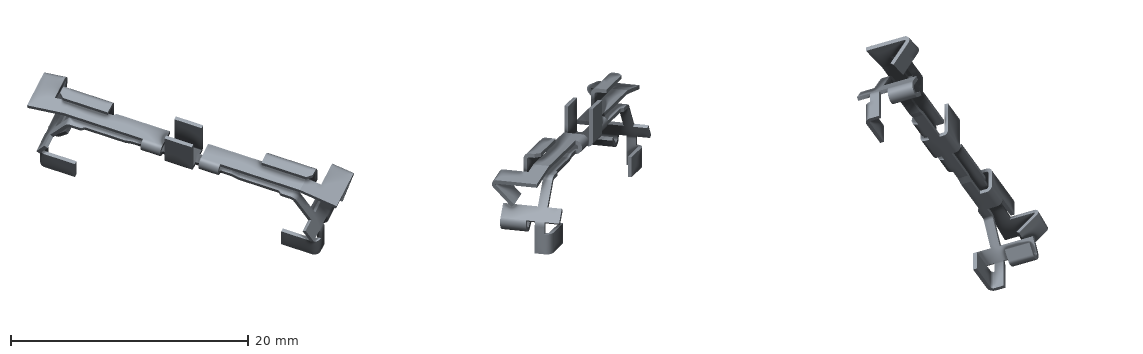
import cadquery as cq
import math

THICKNESS = 0.35
HALF_LENGTH = 14.1
HEIGHT = 9.35

TIGHT_BEND = 0.42
RAIL_BEND = 0.54
FOOT_BEND = 0.6
LEG_BEND = 0.7
HOOK_BEND = 0.73

UPPER_TOP = 7.2
UPPER_FRONT = -0.2
UPPER_BACK = 1.4
RELIEF_BACK = 1.18
RELIEF_START = 6.63
RELIEF_END = 6.8
UPPER_INNER_END = 1.75
SLOPE_START = 10.77
END_SLOPE = 10.0
END_PLATE_WIDTH = 2.0
FLAP_BACK = 3.8
FLAP_ANGLE = 48.0
FLAP_DEPTH = 2.4

FOLD_OUTER_END = 3.52
FOLD_BEND = 0.6
LOWER_BACK = 0.73
MIDDLE_TOP = UPPER_TOP - 2 * FOLD_BEND + THICKNESS
STEP_START = 4.5
STEP_END = 5.15
STEP_DROP = 0.17
LOWER_TOP = MIDDLE_TOP - STEP_DROP

TAB_HALF_LENGTH = 1.25
TAB_FRONT = -1.02
TAB_BACK = 1.52

RAIL_INNER_END = 7.0
RAIL_BASE_END = 9.1
RAIL_OUTER_END = 11.5
RAIL_BACK = 1.83
RAIL_TOP = 8.38
RAIL_OVERHANG_BOTTOM = 6.51
LIP_FRONT = 0.42
LIP_CHAMFER = 0.42

LEG_WIDTH = 0.85
LEG_TAPER = 0.28
LEG_BEND_START = 9.98
LEG_SLOPE = 56.0
LEG_SLOPE_LENGTH = 3.7
CROSSBAR_HEIGHT = 1.33
CROSSBAR_FRONT = -1.7
CROSSBAR_BACK = 3.5
HOOK_FRONT = 1.2
HOOK_FLAT = 0.05
HOOK_RISE_ANGLE = 45.0
HOOK_RISE = 1.05
FOOT_HEIGHT = 1.78
FOOT_INNER_END = 9.4


def direction(angle):
    return cq.Vector(math.cos(math.radians(angle)), math.sin(math.radians(angle)))


def bent_sheet(workplane, start, heading, steps, width):
    """Sheet whose outer face starts at `start` and runs along `heading` (degrees).

    Each step is a straight length, or a (turn angle, outer radius) bend to the left.
    The sheet lies to the left of the outer face.
    """
    outer = cq.Vector(*start)
    outline = workplane.moveTo(outer.x, outer.y)
    inner_steps = []
    for step in steps:
        left = direction(heading + 90)
        inner_start = outer + left * THICKNESS
        if isinstance(step, tuple):
            turn, radius = step
            centre = outer + left * radius
            half_way = direction(heading + turn / 2 - 90)
            heading += turn
            outer = centre + direction(heading - 90) * radius
            outer_mid = centre + half_way * radius
            outline = outline.threePointArc((outer_mid.x, outer_mid.y), (outer.x, outer.y))
            inner_steps.append((inner_start, centre + half_way * (radius - THICKNESS)))
        else:
            outer = outer + direction(heading) * step
            outline = outline.lineTo(outer.x, outer.y)
            inner_steps.append((inner_start, None))
    inner = outer + direction(heading + 90) * THICKNESS
    outline = outline.lineTo(inner.x, inner.y)
    for end, middle in reversed(inner_steps):
        if middle is None:
            outline = outline.lineTo(end.x, end.y)
        else:
            outline = outline.threePointArc((middle.x, middle.y), (end.x, end.y))
    return outline.close().extrude(width)


def plane_facing_x(x):
    return cq.Workplane("YZ", origin=(x, 0, 0))


def plane_facing_y(back):
    """XZ sketch plane at the back of a part; extrusion runs forward, to -Y."""
    return cq.Workplane("XZ", origin=(0, back, 0))


def block(x_range, y_range, z_range):
    size = [high - low for low, high in (x_range, y_range, z_range)]
    corner = (x_range[0], y_range[0], z_range[0])
    return cq.Workplane("XY").box(*size, centered=False).translate(corner)


def upper_strip():
    bottom = UPPER_TOP - THICKNESS
    outline = [
        (-UPPER_INNER_END, UPPER_FRONT),
        (-UPPER_INNER_END, UPPER_BACK),
        (-RELIEF_START, UPPER_BACK),
        (-RELIEF_END, RELIEF_BACK),
        (-SLOPE_START, RELIEF_BACK),
        (-SLOPE_START, UPPER_FRONT),
    ]
    return cq.Workplane("XY", origin=(0, 0, bottom)).polyline(outline).close().extrude(THICKNESS)


def sloping_end():
    """Strip end, wide plate and flap, made level and then tilted about the slope line."""
    end = -SLOPE_START - (HALF_LENGTH - SLOPE_START) / math.cos(math.radians(END_SLOPE))
    z_range = (UPPER_TOP - THICKNESS, UPPER_TOP)
    bend_y = FLAP_BACK - TIGHT_BEND
    strip = block((end, -SLOPE_START), (UPPER_FRONT, RELIEF_BACK), z_range)
    plate = block((end, end + END_PLATE_WIDTH), (UPPER_FRONT, bend_y), z_range)

    centre = cq.Vector(bend_y, UPPER_TOP - TIGHT_BEND)
    bend_start = centre + direction(FLAP_ANGLE - 90) * TIGHT_BEND
    bend_depth = UPPER_TOP - bend_start.y
    flap_length = (FLAP_DEPTH - bend_depth) / math.sin(math.radians(FLAP_ANGLE))
    tip = bend_start - direction(FLAP_ANGLE) * flap_length
    steps = [flap_length, (180 - FLAP_ANGLE, TIGHT_BEND), THICKNESS]
    flap = bent_sheet(plane_facing_x(end), (tip.x, tip.y), FLAP_ANGLE, steps, END_PLATE_WIDTH)

    level = strip.union(plate).union(flap)
    slope_line = (-SLOPE_START, 0, UPPER_TOP), (-SLOPE_START, 1, UPPER_TOP)
    return level.rotate(*slope_line, -END_SLOPE)


def fold():
    """Half-round fold joining the front edges of the upper and lower strips."""
    start = (UPPER_FRONT, UPPER_TOP)
    width = FOLD_OUTER_END - UPPER_INNER_END
    return bent_sheet(plane_facing_x(-FOLD_OUTER_END), start, 180, [(180, FOLD_BEND)], width)


def lower_strip():
    top = [
        (0, MIDDLE_TOP),
        (-STEP_START, MIDDLE_TOP),
        (-STEP_END, LOWER_TOP),
        (-RAIL_BASE_END, LOWER_TOP),
    ]
    bottom = [(x, z - THICKNESS) for x, z in reversed(top)]
    width = LOWER_BACK - UPPER_FRONT
    return plane_facing_y(LOWER_BACK).polyline(top + bottom).close().extrude(width)


def middle_tabs():
    """Left half of the U-shaped pair of tabs."""
    bend_top = MIDDLE_TOP - THICKNESS + TIGHT_BEND
    upright = HEIGHT - bend_top
    floor = TAB_BACK - TAB_FRONT - 2 * TIGHT_BEND
    steps = [upright, (90, TIGHT_BEND), floor, (90, TIGHT_BEND), upright]
    return bent_sheet(plane_facing_x(-TAB_HALF_LENGTH), (TAB_FRONT, HEIGHT), 270, steps, TAB_HALF_LENGTH)


def rail():
    base_bottom = LOWER_TOP - THICKNESS
    steps = [
        RAIL_BACK - RAIL_BEND - LOWER_BACK,
        (90, RAIL_BEND),
        RAIL_TOP - base_bottom - 2 * RAIL_BEND,
        (90, RAIL_BEND),
        RAIL_BACK - RAIL_BEND - LIP_FRONT,
    ]
    length = RAIL_OUTER_END - RAIL_INNER_END
    body = bent_sheet(plane_facing_x(-RAIL_OUTER_END), (LOWER_BACK, base_bottom), 0, steps, length)
    body = body.edges("|Z").edges("<X").edges("<Y").chamfer(LIP_CHAMFER)
    under_overhang = block(
        (-RAIL_OUTER_END, -RAIL_BASE_END),
        (LOWER_BACK, RAIL_BACK),
        (base_bottom, RAIL_OVERHANG_BOTTOM),
    )
    return body.cut(under_overhang)


def slope_point(distance):
    """Point (x, z) on the outer face of the leg, `distance` down its sloping stretch."""
    centre = cq.Vector(-LEG_BEND_START, LOWER_TOP - LEG_BEND)
    return centre + direction(90 + LEG_SLOPE) * LEG_BEND + direction(180 + LEG_SLOPE) * distance


def leg():
    half_width = LEG_WIDTH / 2
    lower_turn = 90 - LEG_SLOPE
    bend_drop = LEG_BEND * math.sin(math.radians(lower_turn))
    shank = slope_point(LEG_SLOPE_LENGTH).y - bend_drop
    steps = [
        LEG_BEND_START - RAIL_BASE_END,
        (LEG_SLOPE, LEG_BEND),
        LEG_SLOPE_LENGTH,
        (lower_turn, LEG_BEND),
        shank,
    ]
    start = (-RAIL_BASE_END, LOWER_TOP)
    strip = bent_sheet(plane_facing_y(half_width), start, 180, steps, LEG_WIDTH)
    corner = [
        (-RAIL_BASE_END, -half_width),
        (-RAIL_BASE_END + LEG_TAPER, UPPER_FRONT),
        (-RAIL_BASE_END, UPPER_FRONT),
    ]
    base = cq.Workplane("XY", origin=(0, 0, LOWER_TOP - THICKNESS))
    return strip.union(base.polyline(corner).close().extrude(THICKNESS))


def crossbar():
    start = slope_point(LEG_SLOPE_LENGTH - CROSSBAR_HEIGHT)
    width = CROSSBAR_BACK - CROSSBAR_FRONT
    plane = plane_facing_y(CROSSBAR_BACK)
    return bent_sheet(plane, (start.x, start.y), 180 + LEG_SLOPE, [CROSSBAR_HEIGHT], width)


def hook():
    start = slope_point(LEG_SLOPE_LENGTH)
    steps = [
        (180 - LEG_SLOPE, HOOK_BEND),
        HOOK_FLAT,
        (HOOK_RISE_ANGLE, TIGHT_BEND),
        HOOK_RISE,
    ]
    width = CROSSBAR_BACK - HOOK_FRONT
    return bent_sheet(plane_facing_y(CROSSBAR_BACK), (start.x, start.y), 180 + LEG_SLOPE, steps, width)


def foot():
    bend_rise = LEG_BEND * (1 - math.sin(math.radians(LEG_SLOPE)))
    shank_x = slope_point(LEG_SLOPE_LENGTH).x - bend_rise
    steps = [(90, FOOT_BEND), -FOOT_INNER_END - shank_x - FOOT_BEND]
    return bent_sheet(cq.Workplane("XY"), (shank_x, -LEG_WIDTH / 2), 270, steps, FOOT_HEIGHT)


half = lower_strip()
for feature in (fold, upper_strip, sloping_end, middle_tabs, rail, leg, crossbar, hook, foot):
    half = half.union(feature())

result = half.union(half.mirror("YZ"))